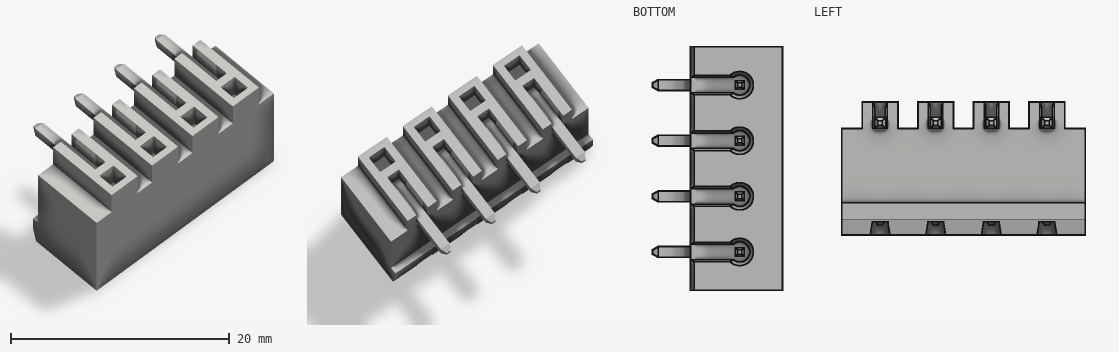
import cadquery as cq
import math

length_x = 11.9
width_y = 22.32
height_z = 12.2
positions = 4
pitch = 5.1

body_front = 4.1
lip_front = 3.44
lip_top = 2.97
lip_bevel_run = 0.38
lip_bevel_height = 1.47
body_top = 9.78

block_width = 3.28
slot_width = 1.32
slot_end = 8.65
rib_start = 4.8
rib_end = 7.32
rib_gap = 0.98
rib_lead_in = 0.47
pocket_size = 1.76
pocket_start = 9.46

pin_size = 1.0
pin_bend_end = 8.48
pin_bottom = 0.9
tip_length = 0.54
tip_size = 0.4

entry_depth = 1.25
entry_diameter = 2.5
entry_top_diameter = 1.83
channel_width = 1.8
channel_top_width = 1.4

pin_axis_x = pin_bend_end - pin_size / 2
pin_axis_z = body_top + pin_size / 2
pin_leg_start = pin_bend_end - pin_size


def box(x_start, x_end, y_width, z_start, z_end):
    """Box centred on Y = 0."""
    size_x = x_end - x_start
    size_z = z_end - z_start
    solid = cq.Workplane("XY").box(size_x, y_width, size_z, centered=(False, True, False))
    return solid.translate((x_start, 0, z_start))


def make_housing():
    """Long body with a bevelled lip along its lower front edge."""
    outline = [
        (lip_front + lip_bevel_run, 0),
        (length_x, 0),
        (length_x, body_top),
        (body_front, body_top),
        (body_front, lip_top),
        (lip_front, lip_top),
        (lip_front, lip_bevel_height),
    ]
    return cq.Workplane("XZ").polyline(outline).close().extrude(width_y / 2, both=True)


def make_rib():
    """Pin-gripping rib on the +Y wall of the slot, with a sloped lead-in at its top."""
    wall = slot_width / 2
    grip = rib_gap / 2
    profile = [
        (wall, body_top),
        (grip, body_top),
        (grip, height_z - rib_lead_in),
        (wall, height_z),
    ]
    rib = cq.Workplane("YZ").polyline(profile).close().extrude(rib_end - rib_start)
    return rib.translate((rib_start, 0, 0))


def make_block():
    """Raised block with the pin slot, its two ribs and a square pocket."""
    block = box(body_front, length_x, block_width, body_top, height_z)
    block = block.cut(box(body_front, slot_end, slot_width, body_top, height_z))
    block = block.cut(box(pocket_start, pocket_start + pocket_size, pocket_size, body_top, height_z))
    rib = make_rib()
    return block.union(rib).union(rib.mirror("XZ"))


def make_entry():
    """Round funnel around the pin end, joined to the front by a tapered channel."""
    funnel = (
        cq.Workplane("XY")
        .circle(entry_diameter / 2)
        .workplane(offset=entry_depth)
        .circle(entry_top_diameter / 2)
        .loft()
        .translate((pin_axis_x, 0, 0))
    )
    profile = [
        (-channel_width / 2, 0),
        (channel_width / 2, 0),
        (channel_top_width / 2, entry_depth),
        (-channel_top_width / 2, entry_depth),
    ]
    channel = cq.Workplane("YZ").polyline(profile).close().extrude(pin_axis_x)
    return funnel.union(channel)


def make_tip(plane):
    """Pointed pin end, built outward from the given plane."""
    return (
        cq.Workplane(plane)
        .rect(pin_size, pin_size)
        .workplane(offset=tip_length)
        .rect(tip_size, tip_size)
        .loft()
    )


def make_pin():
    """Square pin bent through a right angle, with a pointed tip at both ends."""
    leg_end = pin_bottom + tip_length
    bend_reach = pin_size * math.sqrt(0.5)
    shaft = (
        cq.Workplane("XZ")
        .moveTo(tip_length, body_top)
        .lineTo(tip_length, body_top + pin_size)
        .lineTo(pin_leg_start, body_top + pin_size)
        .threePointArc((pin_leg_start + bend_reach, body_top + bend_reach), (pin_bend_end, body_top))
        .lineTo(pin_bend_end, leg_end)
        .lineTo(pin_leg_start, leg_end)
        .lineTo(pin_leg_start, body_top)
        .close()
        .extrude(pin_size / 2, both=True)
    )
    arm_tip_plane = cq.Plane((tip_length, 0, pin_axis_z), (0, 1, 0), (-1, 0, 0))
    leg_tip_plane = cq.Plane((pin_axis_x, 0, leg_end), (1, 0, 0), (0, 0, -1))
    return shaft.union(make_tip(arm_tip_plane)).union(make_tip(leg_tip_plane))


housing = make_housing()
block = make_block()
entry = make_entry()
pin = make_pin()

result = housing
for index in range(positions):
    position_y = (index - (positions - 1) / 2) * pitch
    offset = (0, position_y, 0)
    result = result.union(block.translate(offset))
    result = result.cut(entry.translate(offset))
    result = result.union(pin.translate(offset))